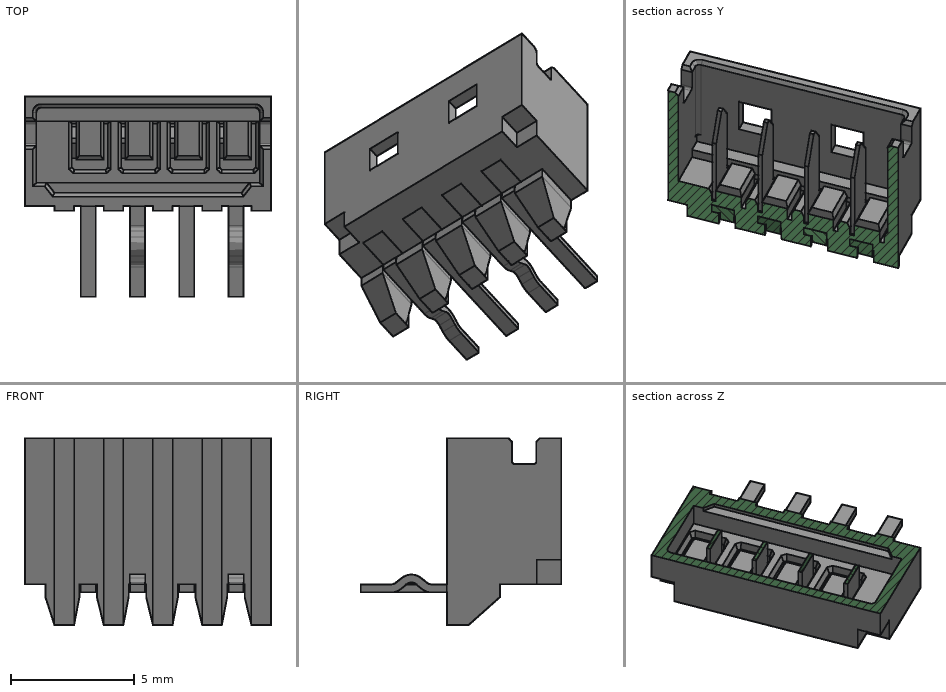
import cadquery as cq
import math


contact_count = 4
pitch = 2.0

housing_length = 10.0
housing_depth = 4.46
housing_height = 5.94

wall = 0.47
cavity_front = 3.51
cavity_corner_radius = 0.18
rim_bevel = 0.15
floor_height = 1.2
recess_front = 3.92
recess_inset = 0.88
recess_slant = 0.32
recess_floor_height = 2.0
ledge_front = 1.02
ledge_height = 1.6

slot_back = ledge_front
slot_width = 0.98
slot_depth = 1.05
slot_floor_fillet = 0.1

window_centers = (3.0, 7.0)
window_width = 1.4
window_height = 1.48
window_sill_height = 2.82

notch_size = 1.0

rib_width = 0.8
rib_depth = 0.19
first_rib_left = 1.2
foot_depth_below = 1.66
foot_straight = 0.52
foot_back_top = 2.49
foot_back_bottom = 3.77
foot_right_flare = 0.22
foot_left_flare = 0.28
end_foot_left_flare = 0.37

first_pocket_left = 1.91
pocket_width = 1.46
pocket_back = 1.11
pocket_front = 2.99
pocket_corner = 0.1
pocket_side_bevel = 0.12
pocket_end_bevel = 0.14
pocket_bevel_height = 0.25
pocket_floor_height = 0.6
core_width = 1.12
core_front = 2.58
core_height = 1.4
core_side_bevel = 0.12
core_front_bevel = 0.16
core_bevel_height = 0.25

blade_thickness = 0.17
blade_front = 2.51
blade_tip_height = 4.89
tip_back = 1.71
tip_front = 1.9
tip_back_shoulder = 1.24
tip_back_shoulder_height = 4.24
tip_front_shoulder_height = 3.64
blade_back_height = 1.3
tail_thickness = 0.33
tail_width = 0.62
tail_center_offset = 0.66
tail_end = 8.15
base_front = foot_back_top + tail_thickness

hump_center = 6.09
hump_top_radius = 0.62
hump_root_radius = 0.35
hump_angle = 38.4
hump_ramp = 0.24


def box(x_range, y_range, z_range):
    """A box between pairs of coordinates; Y is given as distances from the back, back one first."""
    left, right = x_range
    back, front = y_range
    bottom, top = z_range
    size = (right - left, front - back, top - bottom)
    return cq.Workplane("XY").box(*size, centered=False).translate((left, -front, bottom))


def make_feet():
    """Tapered feet below the housing, each with the rib that runs up the front face."""
    side = [
        (-housing_depth, 0),
        (-foot_back_top, 0),
        (-foot_back_top, -foot_straight),
        (-foot_back_bottom, -foot_depth_below),
        (-housing_depth, -foot_depth_below),
    ]
    side_prism = cq.Workplane("YZ").polyline(side).close().extrude(housing_length)
    feet = None
    for index in range(contact_count + 1):
        left = first_rib_left + index * pitch
        right = left + rib_width
        is_last = index == contact_count
        left_flare = end_foot_left_flare if index == 0 else foot_left_flare
        right_flare = 0 if is_last else foot_right_flare
        face = [
            (left - left_flare, 0),
            (left - left_flare, -foot_straight),
            (left, -foot_depth_below),
            (right, -foot_depth_below),
        ]
        if not is_last:
            face.append((right + foot_right_flare, -foot_straight))
        face.append((right + right_flare, 0))
        foot = cq.Workplane("XZ").polyline(face).close().extrude(housing_depth)
        foot = foot.intersect(side_prism)
        rib = box(
            (left, right),
            (housing_depth, housing_depth + rib_depth),
            (-foot_depth_below, housing_height),
        )
        foot = foot.union(rib)
        feet = foot if feet is None else feet.union(foot)
    return feet


def cavity_outline(growth, height):
    """The mouth of the cavity, moved outward by growth: rounded at the back, with the front recess."""
    left = wall - growth
    right = housing_length - left
    back = -left
    front = -cavity_front - growth
    radius = cavity_corner_radius + growth
    arc_inset = radius * (1 - math.sqrt(0.5))
    slant_angle = math.atan2(recess_front - cavity_front, recess_slant)
    corner_slide = growth * math.tan(slant_angle / 2)
    recess_outer = recess_inset - corner_slide
    recess_inner = recess_inset + recess_slant - corner_slide
    recess_y = -recess_front - growth
    return (
        cq.Workplane("XY", origin=(0, 0, height))
        .moveTo(left, front)
        .lineTo(left, back - radius)
        .threePointArc((left + arc_inset, back - arc_inset), (left + radius, back))
        .lineTo(right - radius, back)
        .threePointArc((right - arc_inset, back - arc_inset), (right, back - radius))
        .lineTo(right, front)
        .lineTo(housing_length - recess_outer, front)
        .lineTo(housing_length - recess_inner, recess_y)
        .lineTo(recess_inner, recess_y)
        .lineTo(recess_outer, front)
        .close()
    )


def make_cavity():
    """The space inside the housing, with the back ledge and the shallower front recess left solid."""
    mouth = cavity_outline(0, recess_floor_height).extrude(housing_height - recess_floor_height)
    lower = box(
        (wall, housing_length - wall), (ledge_front, cavity_front), (floor_height, recess_floor_height)
    )
    above_ledge = box(
        (wall, housing_length - wall), (wall, ledge_front), (ledge_height, recess_floor_height)
    )
    wires = [
        cavity_outline(0, housing_height - rim_bevel).val(),
        cavity_outline(rim_bevel, housing_height).val(),
    ]
    bevel = cq.Workplane(cq.Solid.makeLoft(wires, True))
    return mouth.union(lower).union(above_ledge).union(bevel)


def make_slot():
    """The guide slot through both end walls: bevelled at its mouth, rounded in its bottom corners."""
    back = -slot_back
    front = back - slot_width
    bottom = housing_height - slot_depth
    profile = [
        (back + rim_bevel, housing_height),
        (back, housing_height - rim_bevel),
        (back, bottom),
        (front, bottom),
        (front, housing_height - rim_bevel),
        (front - rim_bevel, housing_height),
    ]
    slot = cq.Workplane("YZ").polyline(profile).close().extrude(housing_length)
    return slot.edges("|X").edges("<Z").fillet(slot_floor_fillet)


def pocket_outline(left, side_growth, end_growth, height):
    """A contact pocket with its two front corners cut off, widened at its sides and its ends."""
    outer_left = left - side_growth
    outer_right = left + pocket_width + side_growth
    back = -pocket_back + end_growth
    front = -pocket_front - end_growth
    corner = pocket_corner + (side_growth + end_growth) * (1 - math.sqrt(0.5))
    points = [
        (outer_left, back),
        (outer_right, back),
        (outer_right, front + corner),
        (outer_right - corner, front),
        (outer_left + corner, front),
        (outer_left, front + corner),
    ]
    return cq.Workplane("XY", origin=(0, 0, height)).polyline(points).close()


def in_front_of_ledge():
    """The block of space between the ledge face and the housing front."""
    return box((0, housing_length), (ledge_front, housing_depth), (0, housing_height))


def make_pocket(left):
    """A pocket in the cavity floor with a bevelled mouth that stops at the ledge."""
    pocket = pocket_outline(left, 0, 0, pocket_floor_height).extrude(floor_height - pocket_floor_height)
    wires = [
        pocket_outline(left, 0, 0, floor_height - pocket_bevel_height).val(),
        pocket_outline(left, pocket_side_bevel, pocket_end_bevel, floor_height).val(),
    ]
    bevel = cq.Workplane(cq.Solid.makeLoft(wires, True))
    return pocket.union(bevel).intersect(in_front_of_ledge())


def make_core(left):
    """The core standing in a pocket against the ledge, with a steep bevel along three top edges."""
    core_left = left + blade_thickness
    core_right = core_left + core_width
    shoulder = core_height - core_bevel_height
    core_x_range = (core_left, core_right)
    core = box(core_x_range, (ledge_front, core_front), (pocket_floor_height, core_height))
    front_bevel = [
        (-core_front, shoulder),
        (-core_front, core_height),
        (-core_front + core_front_bevel, core_height),
    ]
    left_bevel = [
        (core_left, shoulder),
        (core_left, core_height),
        (core_left + core_side_bevel, core_height),
    ]
    right_bevel = [
        (core_right, shoulder),
        (core_right, core_height),
        (core_right - core_side_bevel, core_height),
    ]
    core = core.cut(cq.Workplane("YZ").polyline(front_bevel).close().extrude(housing_length))
    for side_bevel in (left_bevel, right_bevel):
        core = core.cut(cq.Workplane("XZ").polyline(side_bevel).close().extrude(housing_depth))
    return core


def make_housing():
    housing = box((0, housing_length), (0, housing_depth), (0, housing_height))
    housing = housing.union(make_feet()).cut(make_cavity()).cut(make_slot())
    for center in window_centers:
        half = window_width / 2
        sill = window_sill_height
        housing = housing.cut(box((center - half, center + half), (0, wall), (sill, sill + window_height)))
    for notch_left in (0, housing_length - notch_size):
        housing = housing.cut(box((notch_left, notch_left + notch_size), (0, notch_size), (0, notch_size)))
    for index in range(contact_count):
        left = first_pocket_left + index * pitch
        housing = housing.cut(make_pocket(left)).union(make_core(left))
        housing = housing.cut(make_pin_root(left))
    return housing


def make_pin_root(left):
    """The part of a pin held by the housing: an upright pointed blade on a flat base."""
    profile = [
        (-pocket_back, 0),
        (-pocket_back, blade_back_height),
        (-tip_back_shoulder, blade_back_height),
        (-tip_back_shoulder, tip_back_shoulder_height),
        (-tip_back, blade_tip_height),
        (-tip_front, blade_tip_height),
        (-blade_front, tip_front_shoulder_height),
        (-blade_front, 0),
    ]
    blade = cq.Workplane("YZ", origin=(left, 0, 0)).polyline(profile).close().extrude(blade_thickness)
    base_right = left + tail_center_offset + tail_width / 2
    base = box((left, base_right), (pocket_back, base_front), (0, tail_thickness))
    return blade.union(base)


def make_tail(left, has_hump):
    """The tail running forward under the housing, either straight or with a hump."""
    path = cq.Workplane("YZ", origin=(left + tail_center_offset, 0, -tail_thickness / 2))
    path = path.moveTo(-foot_back_top, 0)
    if has_hump:
        path = add_hump(path)
    path = path.lineTo(-tail_end, 0)
    start = cq.Workplane("XZ", origin=(left + tail_center_offset, -foot_back_top, -tail_thickness / 2))
    return start.rect(tail_width, tail_thickness).sweep(path)


def add_hump(path):
    """Root bend, ramp, crown, ramp and root bend, along the middle of the tail's thickness."""
    angle = math.radians(hump_angle)
    root = hump_root_radius + tail_thickness / 2
    crown = hump_top_radius - tail_thickness / 2
    ramp_rise = hump_ramp * math.tan(angle)
    ramp_end = crown * math.sin(angle)
    ramp_start = ramp_end + hump_ramp
    hump_start = ramp_start + root * math.sin(angle)
    root_rise = root * (1 - math.cos(angle))
    ramp_top = root_rise + ramp_rise
    crown_top = ramp_top + crown * (1 - math.cos(angle))
    bend_middle = hump_start - root * math.sin(angle / 2)
    bend_middle_rise = root * (1 - math.cos(angle / 2))
    return (
        path.lineTo(-hump_center + hump_start, 0)
        .threePointArc((-hump_center + bend_middle, bend_middle_rise), (-hump_center + ramp_start, root_rise))
        .lineTo(-hump_center + ramp_end, ramp_top)
        .threePointArc((-hump_center, crown_top), (-hump_center - ramp_end, ramp_top))
        .lineTo(-hump_center - ramp_start, root_rise)
        .threePointArc((-hump_center - bend_middle, bend_middle_rise), (-hump_center - hump_start, 0))
    )


def make_pin(index):
    """One pin; the second and fourth have a hump in the tail."""
    left = first_pocket_left + index * pitch
    return make_pin_root(left).union(make_tail(left, has_hump=index % 2 == 1))


housing = make_housing()
pins = [make_pin(index) for index in range(contact_count)]

result = cq.Compound.makeCompound([housing.val(), *[pin.val() for pin in pins]])